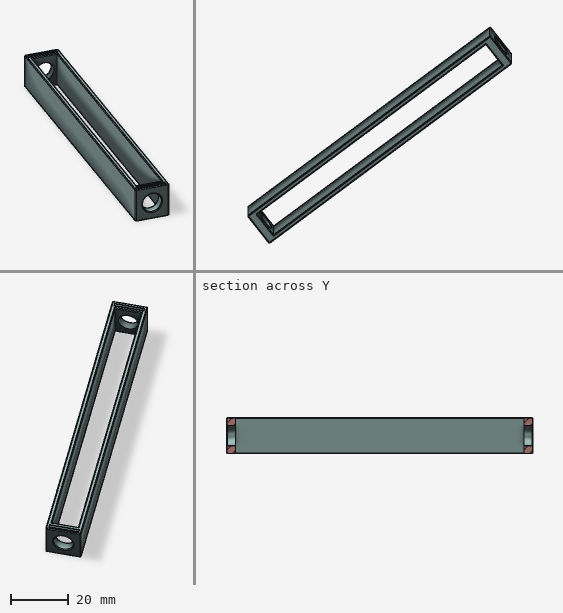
import cadquery as cq

length = 106.2
width = 12.5
height = 12.5

opening_length = 100.0
opening_width = 9.4

bore_diameter = 7.0

edge_chamfer = 0.3

groove_width = 1.0
groove_length = 10.6
groove_depth = 0.3
groove_inset = 1.5


def chamfered_block():
    block = cq.Workplane("XY").box(length, width, height)
    return block.edges().chamfer(edge_chamfer)


def flared_opening():
    """Rectangular opening, widened by a chamfer at its top and bottom rims."""
    opening = cq.Workplane("XY").box(opening_length, opening_width, height)
    rim_length = opening_length + 2 * edge_chamfer
    rim_width = opening_width + 2 * edge_chamfer
    for side in (-1, 1):
        flare = (
            cq.Workplane("XY")
            .workplane(offset=side * height / 2)
            .rect(rim_length, rim_width)
            .workplane(offset=-side * edge_chamfer)
            .rect(opening_length, opening_width)
            .loft()
        )
        opening = opening.union(flare)
    return opening


def end_bores():
    """Bore along the whole tube, widened by a chamfer at both outer end faces."""
    bore_radius = bore_diameter / 2
    bore = cq.Workplane("YZ").circle(bore_radius).extrude(length / 2, both=True)
    for side in (-1, 1):
        flare = (
            cq.Workplane("YZ")
            .workplane(offset=side * length / 2)
            .circle(bore_radius + edge_chamfer)
            .workplane(offset=-side * edge_chamfer)
            .circle(bore_radius)
            .loft()
        )
        bore = bore.union(flare)
    return bore


def end_grooves():
    groove_x = length / 2 - groove_inset
    return (
        cq.Workplane("XY")
        .workplane(offset=height / 2 - groove_depth)
        .pushPoints([(-groove_x, 0), (groove_x, 0)])
        .rect(groove_width, groove_length)
        .extrude(groove_depth)
    )


result = chamfered_block().cut(flared_opening()).cut(end_bores()).cut(end_grooves())